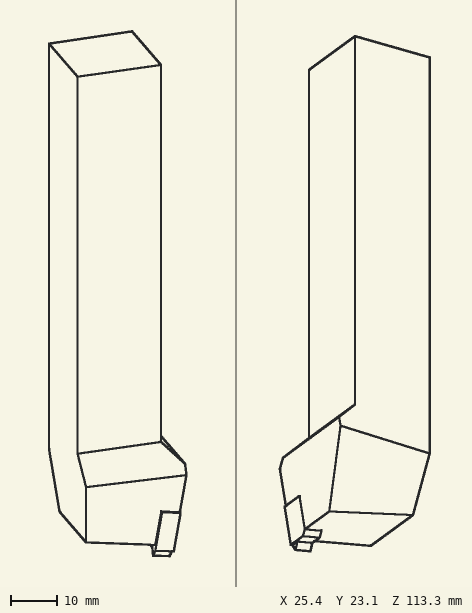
import cadquery as cq
import math

overall_height = 113.3
overall_depth = 23.1
overall_width = 25.4

shank_size = 19.0
shoulder_z = 24.6
head_width = 24.9
side_draft = 0.3
bevel_top_z = 18.5
bevel_angle = 60.0
tilt_angle = 10.0
underside_front_z = 6.0

insert_thickness = 4.3
insert_left_x = 19.3
insert_top = 7.8
insert_drop = 1.1
corner_cut = 1.1
tooth_tip_x = 24.6
tooth_left_x = 23.3
tooth_relief = 0.5

tilt = math.radians(tilt_angle)
head_reach = overall_depth - shank_size
head_top_z = shoulder_z - head_reach
heel_y = (overall_depth - (head_top_z - underside_front_z) * math.tan(tilt)) * math.cos(tilt) ** 2
heel_z = underside_front_z - heel_y * math.tan(tilt)
tooth_drop = heel_z / math.cos(tilt) + tooth_relief * math.tan(tilt)


def front_prism():
    """Side outline of shank, right shoulder and left bevel, run through the depth."""
    bevel_run = bevel_top_z / math.tan(math.radians(bevel_angle))
    shoulder_width = head_width - shank_size
    outline = [
        (0, overall_height),
        (shank_size, overall_height),
        (shank_size, shoulder_z),
        (head_width, shoulder_z - shoulder_width),
        (head_width, 0),
        (bevel_run, 0),
        (0, bevel_top_z),
    ]
    return cq.Workplane("XZ").polyline(outline).close().extrude(-overall_depth)


def side_prism():
    """Outline with the rear shoulder, tilted rear face and underside, run through the width."""
    outline = [
        (0, overall_height),
        (shank_size, overall_height),
        (shank_size, shoulder_z),
        (overall_depth, head_top_z),
        (heel_y, heel_z),
        (0, underside_front_z),
    ]
    return cq.Workplane("YZ").polyline(outline).close().extrude(head_width)


def plan_prism():
    """Plan outline that narrows towards the front face."""
    outline = [
        (side_draft, 0),
        (head_width - side_draft, 0),
        (head_width, overall_depth),
        (0, overall_depth),
    ]
    return cq.Workplane("XY").polyline(outline).close().extrude(overall_height)


def tilted_plate(outline, rear_offset):
    """Plate from an outline in the tilted rear face, reaching the insert's front face."""
    rear_plane = cq.Plane(
        origin=(0, heel_y, heel_z),
        xDir=(1, 0, 0),
        normal=(0, -math.cos(tilt), math.sin(tilt)),
    )
    plate = cq.Workplane(rear_plane).workplane(offset=rear_offset)
    return plate.polyline(outline).close().extrude(insert_thickness - rear_offset)


def make_insert():
    plate = tilted_plate(
        [
            (insert_left_x, insert_top),
            (overall_width, insert_top),
            (overall_width, -insert_drop),
            (insert_left_x + corner_cut, -insert_drop),
            (insert_left_x, 0),
        ],
        0,
    )
    tooth = tilted_plate(
        [
            (tooth_left_x, -insert_drop),
            (tooth_left_x, 0),
            (overall_width, 0),
            (overall_width, -insert_drop),
            (tooth_tip_x, -tooth_drop),
        ],
        tooth_relief,
    )
    return plate.union(tooth)


def make_holder(insert):
    body = front_prism().intersect(side_prism()).intersect(plan_prism())
    return body.cut(insert)


insert = make_insert()
holder = make_holder(insert)

result = cq.Compound.makeCompound([holder.val(), insert.val()])